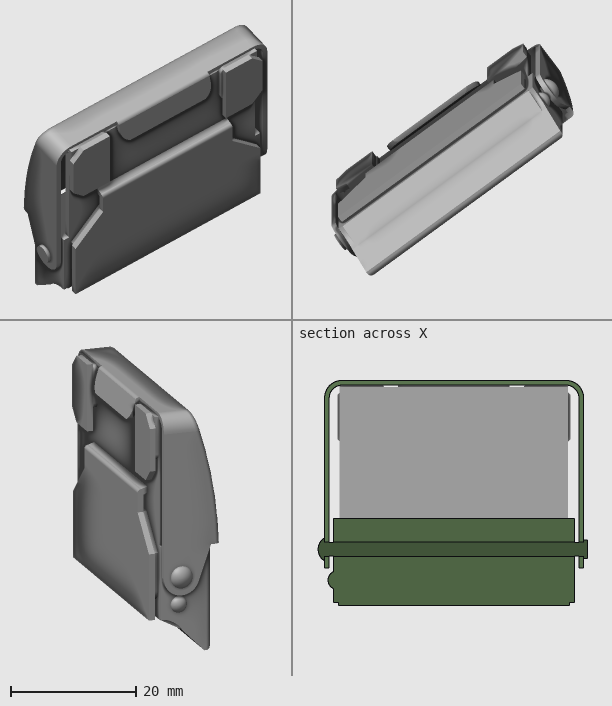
import cadquery as cq
import math

BACK_X = 3.0

SHEET = 0.8
COVER_WIDTH = 41.35
COVER_TOP = 26.95
COVER_CORNER_R = 2.85
COVER_EDGE_R = 0.77
EAR_R = BACK_X
LIP_Z = 5.05
LIP_FRONT_X = -6.5
LIP_REAR_X = -4.95
FRONT_MID = (-4.95, 17.8)
FRONT_TOP_X = -2.25

TONGUE_WIDTH = 17.8
TONGUE_BEND_X = 3.6
TONGUE_BEND_Z = 26.6
TONGUE_TIP_X = 4.7
TONGUE_TIP_Z = 23.0
TONGUE_CORNER_R = 2.6

BASE_WIDTH = 38.53
BASE_FRONT_X = -5.5
BASE_TOP = 4.95
BASE_BOTTOM = -13.05
BASE_FOOT_X = -4.35
BASE_EDGE_R = 0.85
SCOOP_START = (-0.65, -9.35)
SCOOP_MID = (1.1, -7.7)
SCOOP_END_Z = -7.2
HEEL_Z = -7.4
STUD_R = 1.38
STUD_HEIGHT = 0.85
STUD_Z = -4.9

PIN_D = 2.25
PIN_HEAD_D = 3.7
PIN_HEAD_HEIGHT = 1.05
PIN_TAIL_D = 3.0
PIN_TAIL_HEIGHT = 0.6

PLATE = 1.0
PAD_X = 3.65
WEB_HALF_WIDTH = 18.25
WEB_TOP = 25.8
WEB_BOTTOM = -4.6
PAD_OUTER_Y = 18.58
PAD_INNER_Y = 11.4
PAD_TOP = 26.6
PAD_BOTTOM = 15.5
PAD_CHAMFER = 2.0
NECK_INNER_Y = 11.1
NECK_TOP = 26.4
NECK_BOTTOM = 19.25
NECK_CORNER_R = 0.85
LOWER_PAD_HALF_WIDTH = 18.15
LOWER_PAD_BOTTOM = -7.5
LOWER_NECK_HALF_WIDTH = 17.8
LOWER_NECK_CORNER_R = 1.7
SHOULDER_Z = 3.55
FLARE = 5.4
FLARE_TOP = SHOULDER_Z + FLARE
STEM_TOP = 13.15
STEM_DROP = 0.35
STEM_BEND_R = 0.6


def box(x0, x1, y0, y1, z0, z1):
    """Block between the given limits along each axis."""
    return cq.Workplane("XY").box(x1 - x0, y1 - y0, z1 - z0, centered=False).translate((x0, y0, z0))


def extrude_y(profile, width):
    """Extrude a closed XZ profile symmetrically about y = 0."""
    return profile.extrude(width / 2, both=True)


def y_cylinder(radius, y0, y1):
    """Cylinder on the pin axis."""
    return cq.Workplane("XZ", origin=(0, y0, 0)).circle(radius).extrude(y0 - y1)


def dome(radius, height):
    """Spherical cap standing on y = 0 and rising toward +Y."""
    sphere_r = (radius**2 + height**2) / (2 * height)
    half_angle = math.asin(radius / sphere_r) / 2
    centre_y = height - sphere_r
    mid = (sphere_r * math.sin(half_angle), centre_y + sphere_r * math.cos(half_angle))
    return (
        cq.Workplane("XY").moveTo(0, 0).lineTo(radius, 0).threePointArc(mid, (0, height)).close()
        .revolve(360, (0, 0, 0), (0, 1, 0))
    )


def cover_hull(inset):
    """Curved-front hull of the cover above the lip, inset from the outside on the walls."""
    top = COVER_TOP - inset
    hull = extrude_y(
        cq.Workplane("XZ").moveTo(LIP_FRONT_X + inset, LIP_Z)
        .threePointArc((FRONT_MID[0] + inset, FRONT_MID[1]), (FRONT_TOP_X + inset, top))
        .lineTo(BACK_X, top).lineTo(BACK_X, LIP_Z).close(),
        COVER_WIDTH - 2 * inset,
    )
    return hull.faces(">Z").edges("|X").fillet(COVER_CORNER_R - inset)


def ears():
    """Side walls below the lip, tapering to a round end about the pin axis."""
    reach = math.hypot(LIP_REAR_X, LIP_Z)
    tangent_angle = math.atan2(LIP_Z, LIP_REAR_X) + math.acos(EAR_R / reach)
    tangent = (EAR_R * math.cos(tangent_angle), EAR_R * math.sin(tangent_angle))
    both = extrude_y(
        cq.Workplane("XZ").moveTo(LIP_REAR_X, LIP_Z).lineTo(*tangent)
        .threePointArc((0, -EAR_R), (BACK_X, 0)).lineTo(BACK_X, LIP_Z).close(),
        COVER_WIDTH,
    )
    inner_y = COVER_WIDTH / 2 - SHEET
    return both.cut(box(-2 * EAR_R, BACK_X, -inner_y, inner_y, -EAR_R, LIP_Z))


def tongue():
    """Hook bent down from the top wall, rounded at the tip corners."""
    slope = math.atan2(TONGUE_TIP_X - TONGUE_BEND_X, TONGUE_BEND_Z - TONGUE_TIP_Z)
    dx = SHEET * math.cos(slope)
    dz = SHEET * math.sin(slope)
    strip = extrude_y(
        cq.Workplane("XZ").moveTo(BACK_X - SHEET, COVER_TOP).lineTo(BACK_X, COVER_TOP)
        .tangentArcPoint((TONGUE_BEND_X, TONGUE_BEND_Z), relative=False)
        .lineTo(TONGUE_TIP_X, TONGUE_TIP_Z)
        .lineTo(TONGUE_TIP_X - dx, TONGUE_TIP_Z - dz)
        .lineTo(BACK_X, COVER_TOP - SHEET).lineTo(BACK_X - SHEET, COVER_TOP - SHEET).close(),
        TONGUE_WIDTH,
    )
    half_width = TONGUE_WIDTH / 2
    outline = box(0, TONGUE_TIP_X, -half_width, half_width, TONGUE_TIP_Z - dz, COVER_TOP)
    return strip.intersect(outline.edges("|X and <Z").fillet(TONGUE_CORNER_R))


def make_cover():
    hull = cover_hull(0)
    hull = hull.faces("<X").edges("not <Z").fillet(COVER_EDGE_R)
    cover = hull.cut(cover_hull(SHEET)).union(ears()).union(tongue())
    return cover.cut(y_cylinder(PIN_D / 2, -COVER_WIDTH, COVER_WIDTH))


def base_side_scoop():
    """Sliver between the straight heel and the arc that trims each side wall."""
    return (
        cq.Workplane("XZ").moveTo(*SCOOP_START).threePointArc(SCOOP_MID, (BACK_X, SCOOP_END_Z))
        .lineTo(BACK_X, HEEL_Z).close()
    )


def make_base():
    base = extrude_y(
        cq.Workplane("XZ").polyline([
            (BASE_FRONT_X, BASE_TOP), (BACK_X, BASE_TOP), (BACK_X, HEEL_Z), SCOOP_START,
            (BASE_FOOT_X, BASE_BOTTOM), (BASE_FRONT_X, BASE_BOTTOM),
        ]).close(),
        BASE_WIDTH,
    )
    base = base.faces("<X").edges().fillet(BASE_EDGE_R)
    scoop = base_side_scoop().extrude(SHEET)
    base = base.cut(scoop.translate((0, SHEET - BASE_WIDTH / 2, 0)))
    base = base.cut(scoop.translate((0, BASE_WIDTH / 2, 0)))
    base = base.union(dome(STUD_R, STUD_HEIGHT).translate((0, BASE_WIDTH / 2, STUD_Z)))
    base = base.cut(y_cylinder(PIN_D / 2, -BASE_WIDTH, BASE_WIDTH))
    return base.cut(web())


def make_pin():
    end_y = COVER_WIDTH / 2
    pin = y_cylinder(PIN_D / 2, -end_y, end_y)
    pin = pin.union(dome(PIN_HEAD_D / 2, PIN_HEAD_HEIGHT).translate((0, end_y, 0)))
    return pin.union(y_cylinder(PIN_TAIL_D / 2, -end_y - PIN_TAIL_HEIGHT, -end_y))


def web():
    return box(BACK_X - PLATE, BACK_X, -WEB_HALF_WIDTH, WEB_HALF_WIDTH, WEB_BOTTOM, WEB_TOP)


def upper_pad():
    """Raised pad at the upper +Y corner with its neck."""
    neck = box(BACK_X, PAD_X, NECK_INNER_Y, WEB_HALF_WIDTH, NECK_BOTTOM, NECK_TOP)
    neck = neck.edges("|X").edges("<Y or <Z").fillet(NECK_CORNER_R)
    pad = box(PAD_X, PAD_X + PLATE, PAD_INNER_Y, PAD_OUTER_Y, PAD_BOTTOM, PAD_TOP)
    return neck.union(pad.edges("|X").edges(">Y").chamfer(PAD_CHAMFER))


def flared_slab(x0, x1, half_width, bottom):
    """Slab that widens downward at 45 degrees from the stem to its shoulders."""
    top_half_width = half_width - FLARE
    right = [(top_half_width, FLARE_TOP), (half_width, SHOULDER_Z), (half_width, bottom)]
    left = [(-y, z) for y, z in reversed(right)]
    return cq.Workplane("YZ", origin=(x0, 0, 0)).polyline(right + left).close().extrude(x1 - x0)


def stem():
    """Strip that rises from the lower pad and bends forward into the web."""
    outer_x = PAD_X + PLATE
    bend_x = outer_x - STEM_BEND_R
    bend_z = STEM_TOP - STEM_DROP - STEM_BEND_R
    bend_mid = (bend_x + STEM_BEND_R * math.sin(math.pi / 4), bend_z + STEM_BEND_R * math.cos(math.pi / 4))
    return extrude_y(
        cq.Workplane("XZ").moveTo(BACK_X, STEM_TOP).lineTo(bend_x, bend_z + STEM_BEND_R)
        .threePointArc(bend_mid, (outer_x, bend_z)).lineTo(outer_x, FLARE_TOP)
        .lineTo(PAD_X, FLARE_TOP).lineTo(PAD_X, STEM_TOP - STEM_DROP - PLATE)
        .lineTo(BACK_X, STEM_TOP - PLATE).close(),
        2 * (LOWER_PAD_HALF_WIDTH - FLARE),
    )


def lower_pad():
    """Wide lower pad with its neck and its bent stem."""
    neck = flared_slab(BACK_X, PAD_X, LOWER_NECK_HALF_WIDTH, WEB_BOTTOM)
    neck = neck.edges("|X and <Z").fillet(LOWER_NECK_CORNER_R)
    pad = flared_slab(PAD_X, PAD_X + PLATE, LOWER_PAD_HALF_WIDTH, LOWER_PAD_BOTTOM)
    return neck.union(pad).union(stem())


def make_back_plate():
    pad = upper_pad()
    return web().union(pad).union(pad.mirror("XZ")).union(lower_pad())


cover = make_cover()
base = make_base()
pin = make_pin()
back_plate = make_back_plate()

bodies = (cover, base, pin, back_plate)
result = cq.Compound.makeCompound([body.solids().val() for body in bodies])